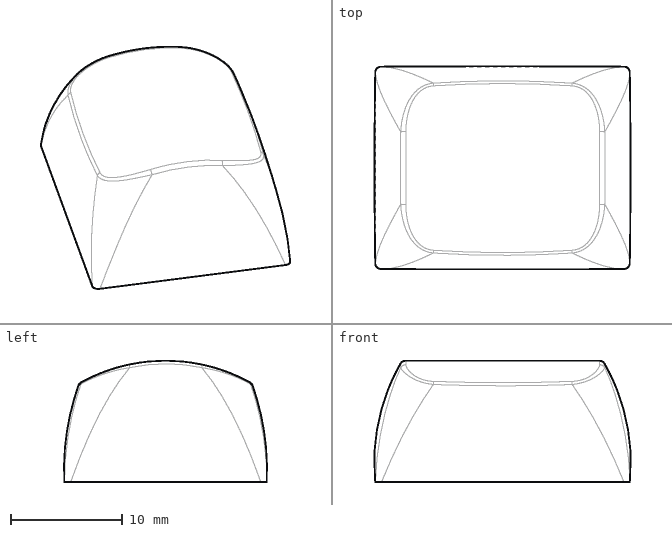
import cadquery as cq
import math

length = 23.03
width = 18.25
height = 10.9

end_wall_radius = 17.96
end_widest_level = 1.73
side_wall_radius = 22.35
side_widest_level = 1.15

base_plan_radius = 13818.0
end_top_plan_radius = 25.33
side_top_plan_radius = 96.73

base_corner_radius = 0.55
top_corner_radius = 4.55

crown_radius = 15.65
rim_fillet = 0.53

section_count = 7
blank_height = height + 0.23


def wall_offset(widest, radius, widest_level, level):
    """Distance from the middle of the part to a wall at a given level."""
    rise = level - widest_level
    return widest - radius + math.sqrt(radius**2 - rise**2)


def blend(base_value, top_value, level):
    """Value that changes linearly from the base to the full height."""
    return base_value + (top_value - base_value) * level / height


def plan_radius(top_radius, level):
    """Horizontal wall radius; its curvature grows linearly with the level."""
    return 1 / blend(1 / base_plan_radius, 1 / top_radius, level)


def section_wire(level):
    """Horizontal outline: four shallow arcs joined by tangent corner arcs."""
    half_x = wall_offset(length / 2, end_wall_radius, end_widest_level, level)
    half_y = wall_offset(width / 2, side_wall_radius, side_widest_level, level)
    end_radius = plan_radius(end_top_plan_radius, level)
    side_radius = plan_radius(side_top_plan_radius, level)
    corner = blend(base_corner_radius, top_corner_radius, level)

    end_center = cq.Vector(half_x - end_radius, 0, level)
    side_center = cq.Vector(0, half_y - side_radius, level)
    end_reach = end_radius - corner
    side_reach = side_radius - corner
    span = side_center - end_center
    along = (end_reach**2 - side_reach**2 + span.Length**2) / (2 * span.Length)
    across = math.sqrt(end_reach**2 - along**2)
    span_direction = span.normalized()
    normal = cq.Vector(-span_direction.y, span_direction.x, 0)
    center = end_center + span_direction * along + normal * across

    end_direction = (center - end_center).normalized()
    side_direction = (center - side_center).normalized()
    end_point = center + end_direction * corner
    side_point = center + side_direction * corner
    middle = center + (end_direction + side_direction).normalized() * corner

    def mirrored(point, sign_x, sign_y):
        return cq.Vector(sign_x * point.x, sign_y * point.y, level)

    def arc(start, through, end):
        return cq.Edge.makeThreePointArc(start, through, end)

    edges = []
    for sign in (1, -1):
        end_start = mirrored(end_point, sign, -sign)
        end_finish = mirrored(end_point, sign, sign)
        side_start = mirrored(side_point, sign, sign)
        side_finish = mirrored(side_point, -sign, sign)
        next_end = mirrored(end_point, -sign, sign)
        edges += [
            arc(end_start, cq.Vector(sign * half_x, 0, level), end_finish),
            arc(end_finish, mirrored(middle, sign, sign), side_start),
            arc(side_start, cq.Vector(0, sign * half_y, level), side_finish),
            arc(side_finish, mirrored(middle, -sign, sign), next_end),
        ]
    return cq.Wire.assembleEdges(edges)


def make_blank():
    """Bulging walls lofted through evenly spaced horizontal sections."""
    step = blank_height / (section_count - 1)
    wires = [section_wire(index * step) for index in range(section_count)]
    return cq.Workplane(obj=cq.Solid.makeLoft(wires))


def make_crown():
    """Cylinder along X whose upper side forms the crowned top."""
    return (
        cq.Workplane("YZ")
        .center(0, height - crown_radius)
        .circle(crown_radius)
        .extrude(length, both=True)
    )


crowned_body = make_blank().intersect(make_crown())
result = crowned_body.faces(">Z").edges().fillet(rim_fillet)